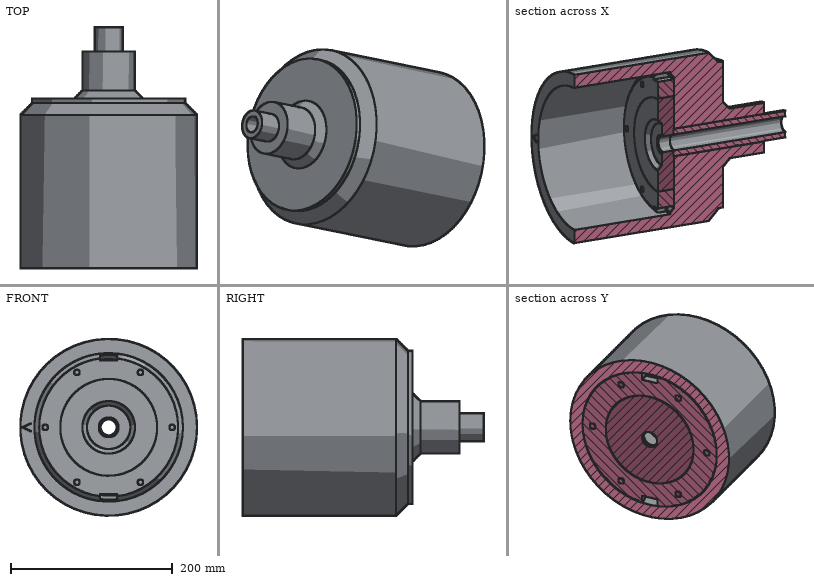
import cadquery as cq
import math


PLATE_FRONT = 118.0
RIM_FRONT = 204.5
RIM_BACK = 210.5
TAIL_START = 268.6
TAIL_END = 298.5

BARREL_D = 219.0
RIM_D = 190.0
NECK_D = 65.0
NECK_BASE_D = 84.8
BORE_D = 184.0
SEAT_D = 179.0
FLOOR_D = 169.0

ARROW_TIP_X = -106.5
ARROW_LENGTH = 10.0
ARROW_HALF_HEIGHT = 4.8
ARROW_STROKE = 0.3
ARROW_DEPTH = 1.0

PLATE_FACE_D = 172.0
PLATE_LAND = 12.0
SLOT_WIDTH = 21.0
SLOT_FLOOR_R = 82.5

DISC_D = 120.0
RECESS_D = 65.0
RECESS_FLOOR_D = 53.7
BORE_CHAMFER_D = 24.5
BORE_CHAMFER_ANGLE = 120.0
PASSAGE_D = 20.0

PIN_D = 7.0
PIN_COUNT = 6
PIN_CIRCLE_R = 78.5
TUBE_D = 35.0

PLATE_BEVEL = (BORE_D - PLATE_FACE_D) / 2
SEAT_DEPTH = (SEAT_D - FLOOR_D) / 2
BARREL_END = RIM_FRONT - (BARREL_D - RIM_D) / 2
NECK_CONE = (NECK_BASE_D - NECK_D) / 2
RECESS_DEPTH = (RECESS_D - RECESS_FLOOR_D) / 2
BORE_CHAMFER = (BORE_CHAMFER_D - PASSAGE_D) / 2 / math.tan(math.radians(BORE_CHAMFER_ANGLE / 2))
SEAT_Y = PLATE_FRONT + PLATE_BEVEL + PLATE_LAND
FLOOR_Y = SEAT_Y + SEAT_DEPTH
PLATE_THICKNESS = FLOOR_Y - PLATE_FRONT


def revolve(profile):
    """Turn a closed (diameter, y) profile about the Y axis."""
    points = [(diameter / 2, y) for diameter, y in profile]
    return cq.Workplane("XY").polyline(points).close().revolve(360, (0, 0, 0), (0, 1, 0))


def cylinder(diameter, start, end, x=0, z=0):
    """Solid cylinder parallel to Y between two stations."""
    axis = cq.Vector(0, 1, 0)
    return cq.Workplane(cq.Solid.makeCylinder(diameter / 2, end - start, cq.Vector(x, start, z), axis))


def make_arrow():
    """Two strokes that meet at a tip pointing to -X."""
    arrow = cq.Workplane("XY")
    stroke_length = math.hypot(ARROW_LENGTH, ARROW_HALF_HEIGHT)
    slope = math.degrees(math.atan2(ARROW_HALF_HEIGHT, ARROW_LENGTH))
    for angle in (slope, -slope):
        stroke = (
            cq.Workplane("XY")
            .box(stroke_length, ARROW_DEPTH, ARROW_STROKE, centered=(False, False, True))
            .rotate((0, 0, 0), (0, 1, 0), angle)
            .translate((ARROW_TIP_X, 0, 0))
        )
        arrow = arrow.add(stroke)
    return arrow.combine()


def make_housing():
    """Barrel with a stepped, necked back, a deep bore and a conical seat for the face plate."""
    body = revolve([
        (TUBE_D, FLOOR_Y),
        (FLOOR_D, FLOOR_Y),
        (SEAT_D, SEAT_Y),
        (BORE_D, SEAT_Y),
        (BORE_D, 0),
        (BARREL_D, 0),
        (BARREL_D, BARREL_END),
        (RIM_D, RIM_FRONT),
        (RIM_D, RIM_BACK),
        (NECK_BASE_D, RIM_BACK),
        (NECK_D, RIM_BACK + NECK_CONE),
        (NECK_D, TAIL_START),
        (TUBE_D, TAIL_START),
    ])
    return body.cut(make_arrow())


def pin_positions():
    """Evenly spaced (x, z) points on the pin circle, starting on +X."""
    angles = [2 * math.pi * i / PIN_COUNT for i in range(PIN_COUNT)]
    return [(PIN_CIRCLE_R * math.cos(a), PIN_CIRCLE_R * math.sin(a)) for a in angles]


def make_pin(x, z):
    """Plain pin, flush with both faces of the face plate."""
    return cylinder(PIN_D, PLATE_FRONT, FLOOR_Y, x, z)


def make_face_plate():
    """Bevelled ring with two edge slots and a hole for each pin."""
    plate = revolve([
        (DISC_D, PLATE_FRONT),
        (PLATE_FACE_D, PLATE_FRONT),
        (BORE_D, PLATE_FRONT + PLATE_BEVEL),
        (BORE_D, SEAT_Y),
        (SEAT_D, SEAT_Y),
        (FLOOR_D, FLOOR_Y),
        (DISC_D, FLOOR_Y),
    ])
    slot_height = BORE_D / 2 - SLOT_FLOOR_R
    for side in (1, -1):
        slot = (
            cq.Workplane("XY")
            .box(SLOT_WIDTH, PLATE_THICKNESS, slot_height, centered=(True, False, True))
            .translate((0, PLATE_FRONT, side * (SLOT_FLOOR_R + slot_height / 2)))
        )
        plate = plate.cut(slot)
    for x, z in pin_positions():
        plate = plate.cut(make_pin(x, z))
    return plate


def make_hub_disc():
    """Central disc with a conical recess and a chamfered passage."""
    recess_floor = PLATE_FRONT + RECESS_DEPTH
    return revolve([
        (RECESS_D, PLATE_FRONT),
        (DISC_D, PLATE_FRONT),
        (DISC_D, FLOOR_Y),
        (PASSAGE_D, FLOOR_Y),
        (PASSAGE_D, recess_floor + BORE_CHAMFER),
        (BORE_CHAMFER_D, recess_floor),
        (RECESS_FLOOR_D, recess_floor),
    ])


def make_tail_tube():
    """Tube through the neck, continuing the passage of the hub disc."""
    return cylinder(TUBE_D, FLOOR_Y, TAIL_END).cut(cylinder(PASSAGE_D, FLOOR_Y, TAIL_END))


housing = make_housing()
face_plate = make_face_plate()
hub_disc = make_hub_disc()
tail_tube = make_tail_tube()
pins = [make_pin(x, z) for x, z in pin_positions()]

result = cq.Compound.makeCompound([
    housing.val(),
    face_plate.val(),
    hub_disc.val(),
    tail_tube.val(),
    *[pin.val() for pin in pins],
])